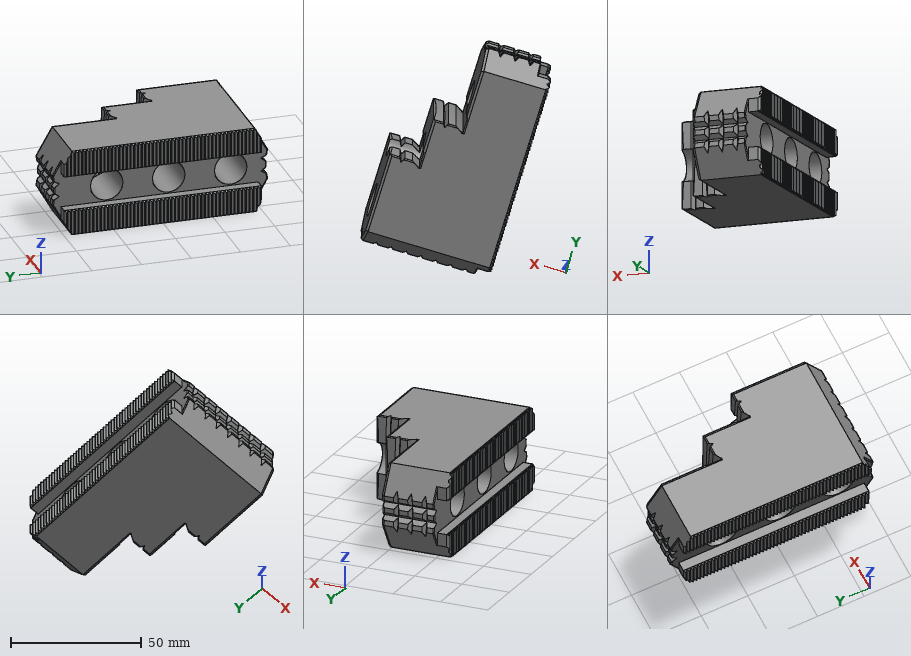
import cadquery as cq
import math


LENGTH = 86.92
HALF_LENGTH = LENGTH / 2
HEIGHT = 35.0
HALF_HEIGHT = HEIGHT / 2
BASE_X = 5.0
CLEARANCE = 1.0

TIP_HALF_HEIGHT = 6.1
END_SLOPE = 60.0
SLOPE_RUN = (HALF_HEIGHT - TIP_HALF_HEIGHT) / math.tan(math.radians(END_SLOPE))

BASE_CHAMFER = 0.4
BASE_CHAMFER_TAPER = 45.0
FACE_CHAMFER_DEPTH = 1.0
FACE_CHAMFER_INSET = 0.65
FACE_CHAMFER_TAPER = math.degrees(math.atan(FACE_CHAMFER_INSET / FACE_CHAMFER_DEPTH))

LEVEL_RISE = 12.0
LOW_X = 27.0
MID_X = LOW_X + LEVEL_RISE
HIGH_X = MID_X + LEVEL_RISE
MID_STEP_Y = HALF_LENGTH - 30.0
HIGH_STEP_Y = HALF_LENGTH - 48.0
STEP_RADIUS = 290.0
STEP_LAND = 9.0
UNDERCUT_ANGLE = 30.0
STEP_NOTCH_OFFSET = 5.0
STEP_EDGE_RUN = 0.55
STEP_EDGE_ANGLE = 30.0
STEP_EDGE_DROP = STEP_EDGE_RUN * math.tan(math.radians(STEP_EDGE_ANGLE))
RELIEF_DEPTH = 0.45
RELIEF_LENGTH = 3.4
RELIEF_RAMP = 0.7

END_RADIUS = 30.0
END_SAG = END_RADIUS - math.sqrt(END_RADIUS**2 - TIP_HALF_HEIGHT**2)
END_FACE_Y = HALF_LENGTH - END_SAG
NOTCH_DEPTH = 1.8
NOTCH_HALF_ANGLE = 30.0
NOTCH_START_X = 9.0
NOTCH_PITCH = 6.0
LONG_END_NOTCHES = 7
SHORT_END_NOTCHES = 3
GROOVE_Z = 2.68
GROOVE_ROOT_Y = HALF_LENGTH - 2.7
GROOVE_INNER_Z = 1.0
GROOVE_OUTER_Z = 4.1

RIB_INNER_Z = 7.0
SERRATION_PITCH = 1.5
SERRATION_COUNT = 53
SERRATION_DEPTH = 1.1
SERRATION_HALF_ANGLE = 30.0
SERRATION_HALF_WIDTH = SERRATION_DEPTH * math.tan(math.radians(SERRATION_HALF_ANGLE))
RIB_LENGTH = SERRATION_PITCH * SERRATION_COUNT
RIB_CENTER_Y = 0.2
RIB_EDGE_DROP = 0.6

HOLE_DIAMETER = 13.0
HOLE_PITCH = 25.0
MIDDLE_HOLE_SETBACK = 40.0
MIDDLE_HOLE_Y = MIDDLE_HOLE_SETBACK - HALF_LENGTH


def section(x, end_y=None):
    """Y-Z outline at x: both ends sloped, or cut square at end_y on the +Y side."""
    flat_y = HALF_LENGTH - SLOPE_RUN
    points = [
        (-flat_y, -HALF_HEIGHT),
        (-HALF_LENGTH, -TIP_HALF_HEIGHT),
        (-HALF_LENGTH, TIP_HALF_HEIGHT),
        (-flat_y, HALF_HEIGHT),
    ]
    if end_y is None:
        points += [
            (flat_y, HALF_HEIGHT),
            (HALF_LENGTH, TIP_HALF_HEIGHT),
            (HALF_LENGTH, -TIP_HALF_HEIGHT),
            (flat_y, -HALF_HEIGHT),
        ]
    else:
        points += [(end_y, HALF_HEIGHT), (end_y, -HALF_HEIGHT)]
    return cq.Workplane("YZ").workplane(offset=x).polyline(points).close()


def level_block(top_x, end_y=None):
    """One level of the jaw, with a chamfered +X face."""
    bottom_x = BASE_X + BASE_CHAMFER
    shoulder_x = top_x - FACE_CHAMFER_DEPTH
    body = section(bottom_x, end_y).extrude(shoulder_x - bottom_x)
    crown = section(shoulder_x, end_y).extrude(FACE_CHAMFER_DEPTH, taper=FACE_CHAMFER_TAPER)
    return body.union(crown)


def base_layer():
    """Chamfered layer that carries the floor between the ribs."""
    return section(BASE_X + BASE_CHAMFER).extrude(-BASE_CHAMFER, taper=BASE_CHAMFER_TAPER)


def along_x(points, start_x, end_x):
    """Prism along X from a Y-Z outline."""
    return cq.Workplane("YZ").workplane(offset=start_x).polyline(points).close().extrude(end_x - start_x)


def ring(points, center_y):
    """Ring around an axis along X, from an X-Y outline."""
    outline = cq.Workplane("XY").polyline(points).close()
    return outline.revolve(360, (0, center_y, 0), (1, center_y, 0))


def notch(x, face_y, center_y):
    """V notch in a +Y face; its root runs concentric with the face."""
    half_width = (NOTCH_DEPTH + CLEARANCE) * math.tan(math.radians(NOTCH_HALF_ANGLE))
    points = [
        (x, face_y - NOTCH_DEPTH),
        (x + half_width, face_y + CLEARANCE),
        (x - half_width, face_y + CLEARANCE),
    ]
    return ring(points, center_y)


def end_cutter(face_x, notch_count):
    """Concave face, two grooves along X and the V notches of the +Y end.

    The concave cutter flares at both ends to continue the face chamfers.
    """
    center_y = END_FACE_Y + END_RADIUS
    cutter = ring(
        [
            (BASE_X, center_y),
            (BASE_X, END_FACE_Y - BASE_CHAMFER),
            (BASE_X + BASE_CHAMFER, END_FACE_Y),
            (face_x - FACE_CHAMFER_DEPTH, END_FACE_Y),
            (face_x, END_FACE_Y - FACE_CHAMFER_INSET),
            (face_x, center_y),
        ],
        center_y,
    )
    inner_y = center_y - math.sqrt(END_RADIUS**2 - GROOVE_INNER_Z**2)
    outer_y = center_y - math.sqrt(END_RADIUS**2 - GROOVE_OUTER_Z**2)
    for side in (-1, 1):
        points = [
            (GROOVE_ROOT_Y, side * GROOVE_Z),
            (inner_y, side * GROOVE_INNER_Z),
            (HALF_LENGTH + CLEARANCE, side * GROOVE_INNER_Z),
            (HALF_LENGTH + CLEARANCE, side * GROOVE_OUTER_Z),
            (outer_y, side * GROOVE_OUTER_Z),
        ]
        cutter = cutter.union(along_x(points, BASE_X, face_x))
    for index in range(notch_count):
        x = NOTCH_START_X + index * NOTCH_PITCH
        cutter = cutter.union(notch(x, END_FACE_Y, center_y))
    return cutter


def corner_chamfer(side, face_x, start_y, end_y):
    """Wedge that continues a +X face chamfer down to the undercut."""
    points = [
        (face_x - FACE_CHAMFER_DEPTH, side * HALF_HEIGHT),
        (face_x, side * HALF_HEIGHT),
        (face_x, side * (HALF_HEIGHT - FACE_CHAMFER_INSET)),
    ]
    profile = cq.Workplane("XZ").workplane(offset=-end_y).polyline(points).close()
    return profile.extrude(end_y - start_y)


def finish_step(body, low_x, high_x, step_y):
    """Convex face, undercut, corner relief, notch and edge breaks of one step."""
    center_y = step_y - STEP_RADIUS
    relief_x = low_x - RELIEF_DEPTH
    land_x = high_x - STEP_LAND
    undercut_depth = (land_x - relief_x) * math.tan(math.radians(UNDERCUT_ANGLE))
    face = ring(
        [
            (relief_x, step_y - undercut_depth),
            (land_x, step_y),
            (high_x + CLEARANCE, step_y),
            (high_x + CLEARANCE, step_y + CLEARANCE),
            (relief_x, step_y + CLEARANCE),
        ],
        center_y,
    )
    relief_end_y = step_y + RELIEF_LENGTH
    relief = (
        cq.Workplane("XY")
        .workplane(offset=-HALF_HEIGHT)
        .polyline(
            [
                (relief_x, step_y),
                (relief_x, relief_end_y),
                (low_x, relief_end_y + RELIEF_RAMP),
                (high_x, relief_end_y + RELIEF_RAMP),
                (high_x, step_y),
            ]
        )
        .close()
        .extrude(HEIGHT)
    )
    body = body.cut(face).cut(relief)
    body = body.cut(notch(high_x - STEP_NOTCH_OFFSET, step_y, center_y))

    edge_y = center_y + math.sqrt(STEP_RADIUS**2 - HALF_HEIGHT**2)
    for side in (-1, 1):
        points = [
            (edge_y - STEP_EDGE_RUN, side * HALF_HEIGHT),
            (edge_y, side * (HALF_HEIGHT - STEP_EDGE_DROP)),
            (step_y, side * (HALF_HEIGHT - STEP_EDGE_DROP)),
            (step_y, side * HALF_HEIGHT),
        ]
        body = body.cut(along_x(points, low_x, high_x))
        body = body.cut(corner_chamfer(side, low_x, edge_y - undercut_depth, step_y))
    return body


def rib_edge_break(side, edge_z, inward):
    """Wedge that breaks one long edge of a rib down to the serration roots."""
    points = [
        (0, side * edge_z),
        (SERRATION_DEPTH, side * edge_z),
        (0, side * (edge_z + inward * RIB_EDGE_DROP)),
    ]
    return cq.Workplane("XZ").polyline(points).close().extrude(HALF_LENGTH, both=True)


def serrated_ribs():
    """Two ribs on the base, cut by V grooves along Z."""
    rib_height = HALF_HEIGHT - RIB_INNER_Z
    rib_top = BASE_X + BASE_CHAMFER
    rib_z = RIB_INNER_Z + rib_height / 2
    centers = [(rib_top / 2, RIB_CENTER_Y, side * rib_z) for side in (-1, 1)]
    blanks = cq.Workplane("XY").pushPoints(centers).box(rib_top, RIB_LENGTH, rib_height)
    ribs = section(0).extrude(rib_top).intersect(blanks)
    for side in (-1, 1):
        ribs = ribs.cut(rib_edge_break(side, HALF_HEIGHT, -1))
        ribs = ribs.cut(rib_edge_break(side, RIB_INNER_Z, 1))

    first_y = RIB_CENTER_Y - RIB_LENGTH / 2
    outline = cq.Workplane("XY").workplane(offset=-HALF_HEIGHT)
    for index in range(SERRATION_COUNT + 1):
        y = first_y + index * SERRATION_PITCH
        outline = outline.polyline(
            [
                (SERRATION_DEPTH, y),
                (0, y + SERRATION_HALF_WIDTH),
                (0, y - SERRATION_HALF_WIDTH),
            ]
        ).close()
    return ribs.cut(outline.extrude(HEIGHT))


def mounting_holes():
    """Three through holes along X."""
    centers = [(MIDDLE_HOLE_Y + index * HOLE_PITCH, 0) for index in (-1, 0, 1)]
    return cq.Workplane("YZ").pushPoints(centers).circle(HOLE_DIAMETER / 2).extrude(HIGH_X)


jaw = level_block(LOW_X)
jaw = jaw.union(level_block(MID_X, MID_STEP_Y))
jaw = jaw.union(level_block(HIGH_X, HIGH_STEP_Y))
jaw = jaw.union(base_layer())
jaw = finish_step(jaw, LOW_X, MID_X, MID_STEP_Y)
jaw = finish_step(jaw, MID_X, HIGH_X, HIGH_STEP_Y)
jaw = jaw.cut(end_cutter(LOW_X, SHORT_END_NOTCHES))
jaw = jaw.cut(end_cutter(HIGH_X, LONG_END_NOTCHES).mirror("XZ"))
jaw = jaw.union(serrated_ribs())
jaw = jaw.cut(mounting_holes())

result = jaw